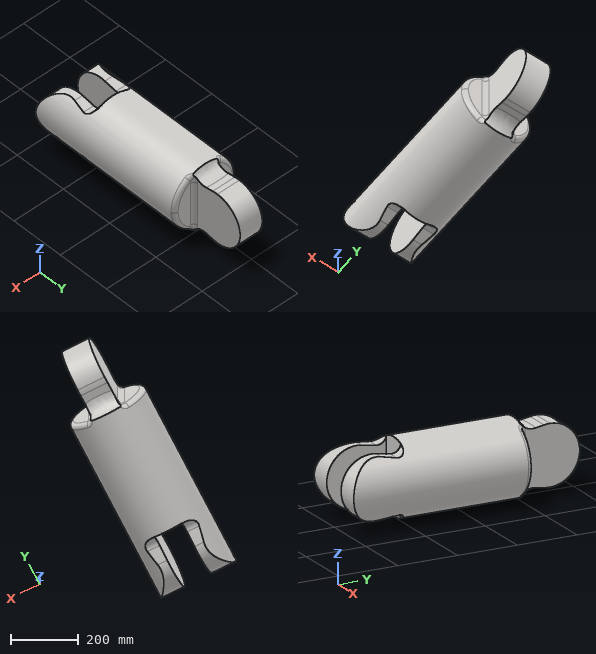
import cadquery as cq
import math

body_radius = 125
total_length = 800
lobe_radius = 100
joint_depth = 200
tongue_width = 90
cove_radius = 30
cove_floor = 90
crest_radius = 120
neck_radius = 50
root_radius = 15
shoulder_round = 15
neck_slices = 12
cut_margin = 1
edge_margin = 1

up = math.pi / 2
half_width = tongue_width / 2
shoulder_y = total_length - joint_depth
tongue_lobe_y = total_length - lobe_radius
cove_center_y = joint_depth - cove_radius
cove_center_z = cove_floor + cove_radius

center_run = cove_center_y - lobe_radius
center_distance = math.hypot(center_run, cove_center_z)
slope = math.atan2(center_run, cove_center_z) - math.acos((lobe_radius + cove_radius) / center_distance)


def circle_point(center, radius, angle):
    """Point (y, z) on a circle, with angle measured from +Y towards +Z."""
    return (center[0] + radius * math.cos(angle), center[1] + radius * math.sin(angle))


def below(point):
    """The same (y, z) point on the underside."""
    return (point[0], -point[1])


crest_center = (tongue_lobe_y, lobe_radius - crest_radius)
crest_top = (tongue_lobe_y, lobe_radius)
crest_mid = circle_point(crest_center, crest_radius, up + slope / 2)
crest_end = circle_point(crest_center, crest_radius, up + slope)
tongue_root = (shoulder_y, crest_end[1] - (crest_end[0] - shoulder_y) * math.tan(slope))


def make_cheek_relief():
    """Cutter that shapes the upper side of both fork cheeks."""
    clear_z = body_radius + cut_margin
    lobe_center = (lobe_radius, 0)
    cove_center = (cove_center_y, cove_center_z)
    lobe_mid = circle_point(lobe_center, lobe_radius, math.radians(135))
    lobe_end = circle_point(lobe_center, lobe_radius, up - slope)
    cove_start = circle_point(cove_center, cove_radius, -up - slope)
    cove_mid = circle_point(cove_center, cove_radius, math.radians(-45))
    return (
        cq.Workplane("YZ")
        .moveTo(0, 0)
        .threePointArc(lobe_mid, lobe_end)
        .lineTo(*cove_start)
        .threePointArc(cove_mid, (joint_depth, cove_center_z))
        .lineTo(joint_depth, clear_z)
        .lineTo(0, clear_z)
        .close()
        .extrude(clear_z, both=True)
    )


def make_body():
    """Cylinder with a slotted fork at its Y = 0 end."""
    cylinder = cq.Workplane("XZ").circle(body_radius).extrude(-shoulder_y)
    relief = make_cheek_relief()
    slot = cq.Workplane("XY").box(tongue_width, 2 * joint_depth, 2 * (body_radius + cut_margin))
    return cylinder.cut(relief).cut(relief.mirror("XY")).cut(slot)


def make_tongue():
    """Flat tongue with a round end and flanks that narrow towards the body."""
    return (
        cq.Workplane("YZ")
        .moveTo(*below(tongue_root))
        .lineTo(*below(crest_end))
        .threePointArc(below(crest_mid), below(crest_top))
        .threePointArc((total_length, 0), crest_top)
        .threePointArc(crest_mid, crest_end)
        .lineTo(*tongue_root)
        .close()
        .extrude(half_width, both=True)
    )


def neck_section(x):
    """Slice of the neck at x: its arc starts on the body's end circle and is tangent to the flank."""
    edge = (shoulder_y, math.sqrt(body_radius**2 - x**2))
    rise = edge[1] - tongue_root[1]
    height = rise * math.cos(slope)
    reach = rise * math.sin(slope) + math.sqrt(neck_radius**2 - (neck_radius - height) ** 2)
    tangent = (shoulder_y + reach * math.cos(slope), tongue_root[1] + reach * math.sin(slope))
    center = circle_point(tangent, neck_radius, up + slope)
    end_angle = slope - up
    start_angle = math.atan2(edge[1] - center[1], edge[0] - center[0])
    if start_angle > 0:
        start_angle -= 2 * math.pi
    mid = circle_point(center, neck_radius, (start_angle + end_angle) / 2)
    return (
        cq.Workplane("YZ", origin=(x, 0, 0))
        .moveTo(shoulder_y, 0)
        .lineTo(*edge)
        .threePointArc(mid, tangent)
        .lineTo(tangent[0], 0)
        .close()
        .wires()
        .val()
    )


def make_neck():
    """Upper blend between the tongue's flank and the round edge of the body."""
    step = tongue_width / neck_slices
    sections = [neck_section(i * step - half_width) for i in range(neck_slices + 1)]
    return cq.Workplane(cq.Solid.makeLoft(sections))


def round_shoulder(part):
    """Fillet the tongue's root, then round the shoulder's outer edge up to the ends of that fillet."""
    root_zone = cq.selectors.BoxSelector(
        (-half_width - edge_margin, shoulder_y - edge_margin, -body_radius),
        (half_width + edge_margin, shoulder_y + edge_margin, body_radius),
    )
    shoulder_zone = cq.selectors.BoxSelector(
        (-body_radius, shoulder_y - edge_margin, -body_radius),
        (body_radius, shoulder_y + edge_margin, body_radius),
    )
    part = part.edges(root_zone).edges("|Z").fillet(root_radius)
    return part.edges(shoulder_zone).edges("%CIRCLE").fillet(shoulder_round)


neck = make_neck()
joined = make_body().union(make_tongue()).union(neck).union(neck.mirror("XY"))
result = cq.Workplane(round_shoulder(joined).solids().val())